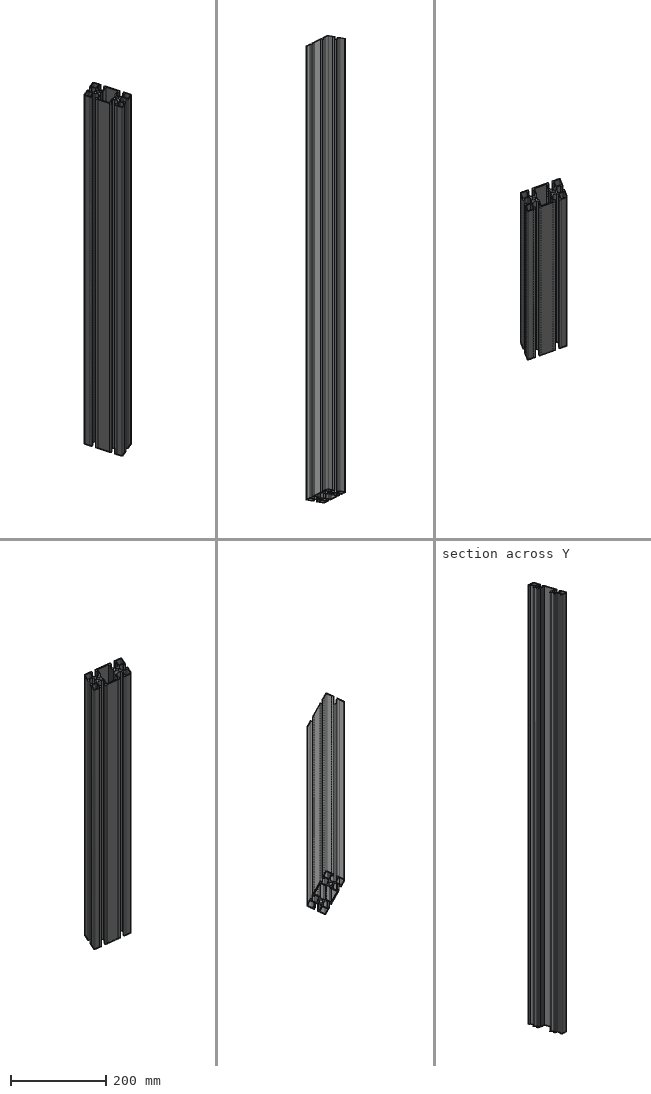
import cadquery as cq

width = 90.0
depth = 45.0
length = 1000.0
corner_radius = 2.5

half_core = 6.8
screw_channel_diameter = 7.2
core_x = (width - depth) / 2

mouth_width = 8.0
mouth_fillet = 0.5
slot_width = 14.0
slot_taper = 3.0
lip_thickness = 4.8

corner_wall = 1.5
center_wall = 2.0
flange_crown = 0.6
corner_chamber_fillet = 1.0

half_depth = depth / 2
half_mouth = mouth_width / 2
half_slot = slot_width / 2


def t_slot():
    """Cutter for one T-slot opening toward +Y, measured from the centre of its screw core."""
    lip_y = half_depth - lip_thickness
    right_side = [
        (half_mouth + mouth_fillet, half_depth),
        (half_mouth, half_depth - mouth_fillet),
        (half_mouth, lip_y),
        (half_slot, lip_y),
        (half_slot, half_core + slot_taper),
        (half_slot - slot_taper, half_core),
    ]
    left_side = [(-x, y) for x, y in reversed(right_side)]
    outline = cq.Workplane("XY").moveTo(*right_side[0])
    outline = outline.radiusArc(right_side[1], -mouth_fillet)
    outline = outline.polyline(right_side[2:] + left_side[:-1], includeCurrent=True)
    outline = outline.radiusArc(left_side[-1], -mouth_fillet)
    return outline.close().extrude(length)


def screw_channel():
    """Cutter for the round channel along the middle of a core."""
    return cq.Workplane("XY").circle(screw_channel_diameter / 2).extrude(length)


def center_chamber():
    """Cutter for the large hollow between the two cores, wider where it meets them."""
    side_x = core_x - half_slot - center_wall
    side_y = half_depth - center_wall
    bulge_x = core_x - half_core
    bulge_y = half_slot - slot_taper
    bulge_start_y = bulge_y + bulge_x - side_x
    crown_y = side_y - flange_crown
    right_side = [
        (side_x, side_y),
        (side_x, bulge_start_y),
        (bulge_x, bulge_y),
        (bulge_x, -bulge_y),
        (side_x, -bulge_start_y),
        (side_x, -side_y),
    ]
    left_side = [(-x, -y) for x, y in right_side]
    outline = cq.Workplane("XY").polyline(right_side)
    outline = outline.threePointArc((0, -crown_y), left_side[0])
    outline = outline.polyline(left_side[1:], includeCurrent=True)
    outline = outline.threePointArc((0, crown_y), right_side[0])
    return outline.close().extrude(length)


def corner_chamber():
    """Cutter for the small square hollow in a corner, centred on the Z axis."""
    size = half_depth - half_slot - 2 * corner_wall
    chamber = cq.Workplane("XY").rect(size, size).extrude(length)
    return chamber.edges("|Z").fillet(corner_chamber_fillet)


body = cq.Workplane("XY").box(width, depth, length, centered=(True, True, False))
body = body.edges("|Z").fillet(corner_radius)
body = body.cut(center_chamber())

corner_offset = (half_depth + half_slot) / 2
for side in (-1, 1):
    for angle in (0, 180, -90 * side):
        slot = t_slot().rotate((0, 0, 0), (0, 0, 1), angle)
        body = body.cut(slot.translate((side * core_x, 0, 0)))
    body = body.cut(screw_channel().translate((side * core_x, 0, 0)))
    for face in (-1, 1):
        corner_center = (side * (core_x + corner_offset), face * corner_offset, 0)
        body = body.cut(corner_chamber().translate(corner_center))

result = body